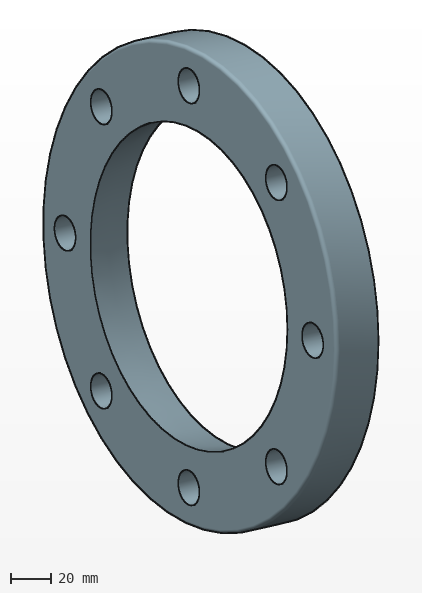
import cadquery as cq
import math

outer_diameter = 250.0
thickness = 26.0
edge_radius = 2.0

front_bore_diameter = 167.0
bore_taper_angle = 10.0
back_bore_diameter = front_bore_diameter + 2 * thickness * math.tan(math.radians(bore_taper_angle))

hole_count = 8
hole_diameter = 18.0
bolt_circle_diameter = 210.0

front_y = -thickness / 2
back_y = thickness / 2


def ring_blank():
    """Solid disc with its outer edge rounded on the front face only."""
    disc = (
        cq.Workplane("XZ", origin=(0, back_y, 0))
        .circle(outer_diameter / 2)
        .extrude(thickness)
    )
    return disc.faces("<Y").edges().fillet(edge_radius)


def tapered_bore():
    """Cone-shaped cutter that runs the full thickness of the ring."""
    return (
        cq.Workplane("XY")
        .moveTo(0, front_y)
        .lineTo(front_bore_diameter / 2, front_y)
        .lineTo(back_bore_diameter / 2, back_y)
        .lineTo(0, back_y)
        .close()
        .revolve(360, (0, 0, 0), (0, 1, 0))
    )


def bolt_holes():
    """Through-hole cutters evenly spaced on the bolt circle."""
    return (
        cq.Workplane("XZ", origin=(0, back_y, 0))
        .polarArray(bolt_circle_diameter / 2, 0, 360, hole_count)
        .circle(hole_diameter / 2)
        .extrude(thickness)
    )


result = ring_blank().cut(tapered_bore()).cut(bolt_holes())